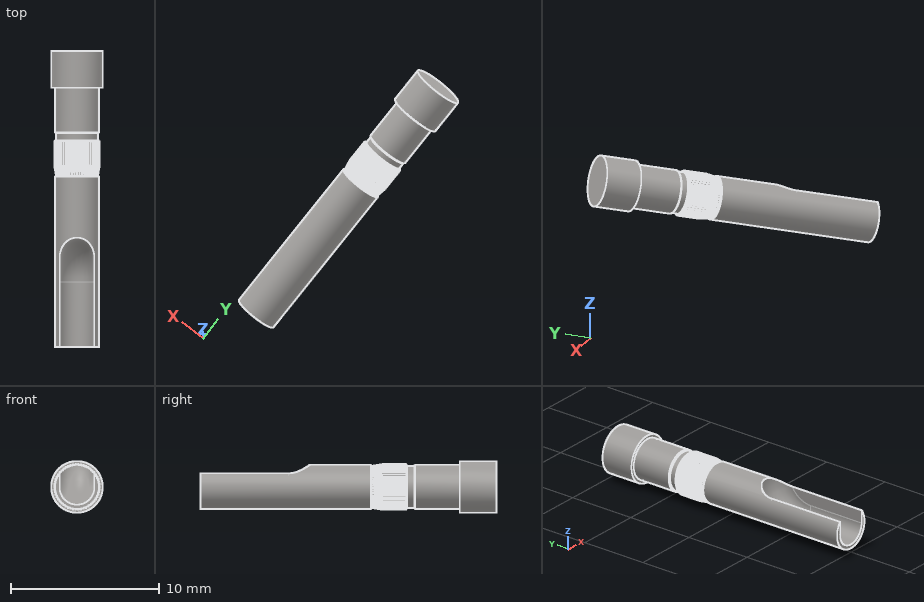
import cadquery as cq
import math

length = 20.0
head_diameter = 3.5
head_length = 2.5
body_diameter = 3.0

relief_start = 5.5
relief_end = 8.5
relief_diameter = 2.85
relief_chamfer = (body_diameter - relief_diameter) / 2

knurl_start = 6.03
knurl_lead_length = 0.1
knurl_taper_start = 7.7
knurl_end = relief_end - relief_chamfer
knurl_diameter = 3.1
tooth_count = 54
tooth_root_sink = 0.02
tooth_point_excess = 0.03

trough_radius = 1.175
trough_sweep_radius = 3.0
trough_floor_z = -1.2
trough_straight_start = 15.6
trough_clearance = 1.0


def make_body():
    """Turned head, shank and chamfered relief, revolved about Y."""
    head_radius = head_diameter / 2
    body_radius = body_diameter / 2
    relief_radius = relief_diameter / 2
    outline = [
        (0, 0),
        (head_radius, 0),
        (head_radius, -head_length),
        (body_radius, -head_length),
        (body_radius, -relief_start),
        (relief_radius, -relief_start - relief_chamfer),
        (relief_radius, -relief_end + relief_chamfer),
        (body_radius, -relief_end),
        (body_radius, -length),
        (0, -length),
    ]
    return cq.Workplane("XY").polyline(outline).close().revolve(360, (0, 0), (0, 1))


def make_knurl():
    """Ring of V-shaped teeth trimmed to the crest diameter, lead chamfer and run-out."""
    crest_radius = knurl_diameter / 2
    relief_radius = relief_diameter / 2
    point_radius = crest_radius + tooth_point_excess
    root_radius = relief_radius - tooth_root_sink
    half_pitch = math.pi / tooth_count
    outline = []
    for step in range(2 * tooth_count):
        radius = point_radius if step % 2 == 0 else root_radius
        angle = step * half_pitch
        outline.append((radius * math.cos(angle), radius * math.sin(angle)))
    teeth = (
        cq.Workplane("XZ", origin=(0, -knurl_start, 0))
        .polyline(outline)
        .close()
        .extrude(knurl_end - knurl_start)
    )
    envelope_outline = [
        (0, -knurl_start),
        (relief_radius, -knurl_start),
        (crest_radius, -knurl_start - knurl_lead_length),
        (crest_radius, -knurl_taper_start),
        (relief_radius, -knurl_end),
        (0, -knurl_end),
    ]
    envelope = cq.Workplane("XY").polyline(envelope_outline).close().revolve(360, (0, 0), (0, 1))
    return teeth.intersect(envelope)


def trough_profile(origin_y, top_z):
    """U-shaped section with a semicircular floor, in the plane normal to Y."""
    centre_z = trough_floor_z + trough_radius
    return (
        cq.Workplane("XZ", origin=(0, origin_y, 0))
        .moveTo(-trough_radius, top_z)
        .lineTo(-trough_radius, centre_z)
        .threePointArc((0, trough_floor_z), (trough_radius, centre_z))
        .lineTo(trough_radius, top_z)
        .close()
    )


def make_trough_cutter():
    """Straight U slot to the tip, closed by a quarter turn of the same section."""
    sweep_axis_z = trough_floor_z + trough_sweep_radius
    straight_length = length - trough_straight_start + trough_clearance
    straight = trough_profile(-trough_straight_start, sweep_axis_z).extrude(straight_length)
    run_out = trough_profile(-trough_straight_start, sweep_axis_z).revolve(
        90, (0, sweep_axis_z), (1, sweep_axis_z)
    )
    return straight.union(run_out)


result = make_body().union(make_knurl()).cut(make_trough_cutter())